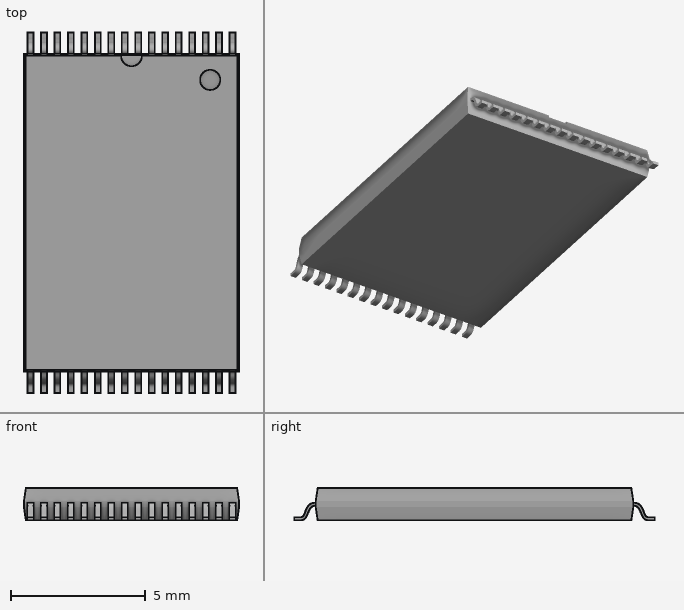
import cadquery as cq
import math

overall_length = 13.4
body_width = 8.0
body_length = 11.8
body_height = 1.2

band_height = 0.23
draft_inset = 0.074
band_bottom = (body_height - band_height) / 2
half_height = body_height - band_height - band_bottom

dot_radius = 0.38
notch_radius = 0.39
mark_depth = 0.1
dot_x = 2.92
dot_y = 4.93
notch_y = body_length / 2 - draft_inset

leads_per_side = 16
lead_row_span = 7.5
lead_pitch = lead_row_span / (leads_per_side - 1)
lead_width = 0.23
lead_thickness = 0.12
foot_length = 0.23
lead_embed = 0.13
leg_reach = 0.32
leg_angle = math.radians(68)


def make_half(direction):
    """Drafted half of the body, growing from the parting band up (1) or down (-1)."""
    start_z = body_height / 2 + direction * band_height / 2
    return (
        cq.Workplane("XY", origin=(0, 0, start_z))
        .rect(body_width, body_length)
        .workplane(offset=direction * half_height)
        .rect(body_width - 2 * draft_inset, body_length - 2 * draft_inset)
        .loft(ruled=True)
    )


def make_body():
    band = cq.Workplane("XY", origin=(0, 0, band_bottom)).box(
        body_width, body_length, band_height, centered=(True, True, False)
    )
    return band.union(make_half(1)).union(make_half(-1))


def make_mark(x, y, radius):
    """Cutter for a round, flat-bottomed recess in the top face."""
    return (
        cq.Workplane("XY", origin=(x, y, body_height - mark_depth))
        .circle(radius)
        .extrude(2 * mark_depth)
    )


def make_lead():
    """One lead on the +Y side, centred on X = 0, extruded from its S-shaped side profile."""
    half_thickness = lead_thickness / 2
    sine = math.sin(leg_angle)
    cosine = math.cos(leg_angle)
    face_y = body_length / 2
    root_y = face_y - lead_embed
    tip_y = overall_length / 2
    foot_y = tip_y - foot_length
    middle_y = face_y + leg_reach
    root_z = body_height / 2
    middle_z = (root_z + half_thickness) / 2

    level = (1, 0)
    steep = (cosine, -sine)
    upper_middle = (middle_y + half_thickness * sine, middle_z + half_thickness * cosine)
    lower_middle = (middle_y - half_thickness * sine, middle_z - half_thickness * cosine)
    upper_curve = [(face_y, root_z + half_thickness), upper_middle, (foot_y, lead_thickness)]
    lower_curve = [(foot_y, 0), lower_middle, (face_y, root_z - half_thickness)]
    tangents = [level, steep, level]
    reversed_tangents = [(-y, -z) for y, z in tangents]

    return (
        cq.Workplane("YZ", origin=(-lead_width / 2, 0, 0))
        .moveTo(root_y, root_z + half_thickness)
        .lineTo(*upper_curve[0])
        .spline(upper_curve[1:], tangents=tangents, includeCurrent=True)
        .lineTo(tip_y, lead_thickness)
        .lineTo(tip_y, 0)
        .lineTo(*lower_curve[0])
        .spline(lower_curve[1:], tangents=reversed_tangents, includeCurrent=True)
        .lineTo(root_y, root_z - half_thickness)
        .close()
        .extrude(lead_width)
    )


body = make_body()
body = body.cut(make_mark(dot_x, dot_y, dot_radius)).cut(make_mark(0, notch_y, notch_radius))

back_lead = make_lead()
front_lead = back_lead.mirror("XZ")
result = body
for index in range(leads_per_side):
    lead_x = index * lead_pitch - lead_row_span / 2
    result = result.union(back_lead.translate((lead_x, 0, 0)))
    result = result.union(front_lead.translate((lead_x, 0, 0)))